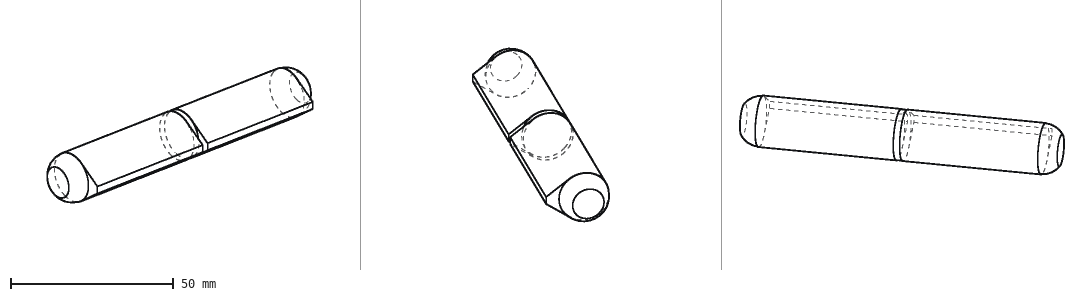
import cadquery as cq

total_length = 100.0
leaf_diameter = 16.0
inner_diameter = 15.8
cap_flat_diameter = 10.0
cap_length = 5.5
washer_thickness = 2.0
tip_reach = 12.0
tip_height = 2.4
flank_start_x = 5.1

leaf_radius = leaf_diameter / 2
inner_radius = inner_diameter / 2
cap_flat_radius = cap_flat_diameter / 2
leaf_end = total_length / 2 - cap_length
flank_start_z = (leaf_radius**2 - flank_start_x**2) ** 0.5

dome_drop = inner_radius - cap_flat_radius
dome_radius = (dome_drop**2 + cap_length**2) / (2 * dome_drop)
dome_mid_y = cap_length / 2
dome_mid_radius = inner_radius - dome_radius + (dome_radius**2 - dome_mid_y**2) ** 0.5


def make_leaf(start_y, end_y):
    """Teardrop barrel and weld edge extruded along Y."""
    return (
        cq.Workplane("XZ", origin=(0, end_y, 0))
        .moveTo(flank_start_x, flank_start_z)
        .threePointArc((-leaf_radius, 0), (flank_start_x, -flank_start_z))
        .lineTo(tip_reach, -tip_height / 2)
        .lineTo(tip_reach, tip_height / 2)
        .close()
        .extrude(end_y - start_y)
    )


def make_core():
    """Solid of revolution forming the washer and both domed caps."""
    half_length = total_length / 2
    return (
        cq.Workplane("XY")
        .moveTo(0, -half_length)
        .lineTo(cap_flat_radius, -half_length)
        .threePointArc((dome_mid_radius, -leaf_end - dome_mid_y), (inner_radius, -leaf_end))
        .lineTo(inner_radius, leaf_end)
        .threePointArc((dome_mid_radius, leaf_end + dome_mid_y), (cap_flat_radius, half_length))
        .lineTo(0, half_length)
        .close()
        .revolve(360, (0, 0, 0), (0, 1, 0))
    )


lower_leaf = make_leaf(-leaf_end, -washer_thickness / 2)
upper_leaf = make_leaf(washer_thickness / 2, leaf_end)
result = make_core().union(lower_leaf).union(upper_leaf)